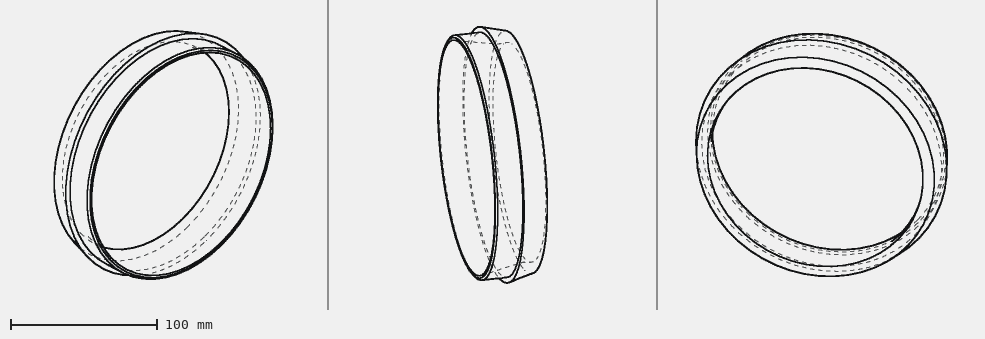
import cadquery as cq

width = 37.0
outer_radius = 88.0
shoulder_x = 18.1

collar_front_radius = 83.5
front_face_dish = 0.7

spigot_radius = 168.3 / 2
chamfer_length = 1.2
chamfer_depth = 1.5

throat_radius = 150.0 / 2
throat_x = 6.5
front_bore_radius = 75.5
rear_bore_radius = 81.0

section = [
    (0, front_bore_radius),
    (front_face_dish, collar_front_radius),
    (shoulder_x, outer_radius),
    (shoulder_x, spigot_radius),
    (width - chamfer_length, spigot_radius),
    (width, spigot_radius - chamfer_depth),
    (width, rear_bore_radius),
    (throat_x, throat_radius),
]

result = cq.Workplane("XY").polyline(section).close().revolve(360, (0, 0, 0), (1, 0, 0))